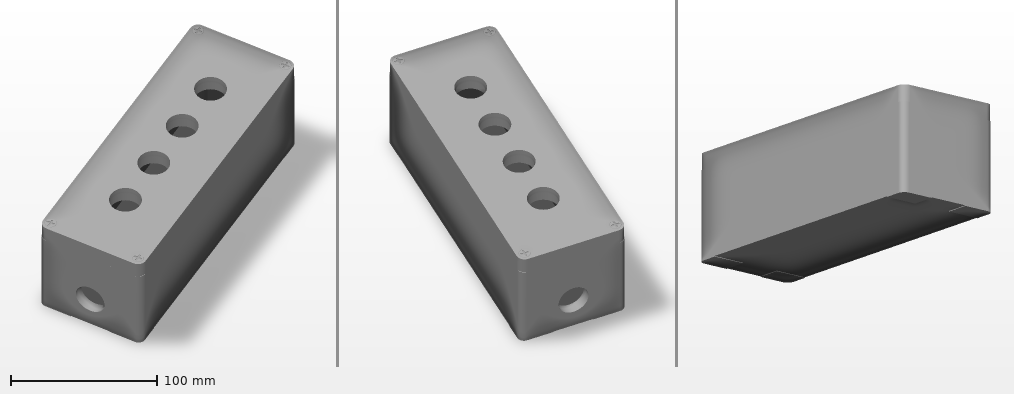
import cadquery as cq

width = 80.0
length = 220.0
total_height = 77.2
base_height = 65.0
screw_head_rise = 0.2
lid_thickness = total_height - base_height - screw_head_rise

base_corner_radius = 5.0
side_wall = 5.0
end_wall = 7.7
floor_thickness = 5.0
foot_width = 25.0
foot_length = 17.5
foot_height = 0.5
post_diameter = 17.0
cable_hole_height = 24.5

lid_corner_radius = 6.0
screw_inset = 6.0
screw_head_diameter = 8.1
screw_head_edge_angle = 45
cross_slot_length = 6.0
cross_slot_width = 1.4
cross_slot_depth = 0.5
button_count = 4
button_pitch = 40.0

opening_diameter = 22.5

screw_centres = [
    (side_x * (width / 2 - screw_inset), side_y * (length / 2 - screw_inset))
    for side_x in (-1, 1)
    for side_y in (-1, 1)
]


def rounded_block(height, corner_radius, bottom):
    """Full-size rectangular block with rounded upright edges."""
    block = cq.Workplane("XY", origin=(0, 0, bottom)).rect(width, length).extrude(height)
    return block.edges("|Z").fillet(corner_radius)


def make_cavity():
    """Open-topped inside of the base, with a round screw post left standing in each corner."""
    depth = base_height - floor_thickness
    floor_plane = cq.Workplane("XY", origin=(0, 0, floor_thickness))
    pocket = floor_plane.rect(width - 2 * side_wall, length - 2 * end_wall).extrude(depth)
    posts = floor_plane.pushPoints(screw_centres).circle(post_diameter / 2).extrude(depth)
    return pocket.cut(posts)


def make_foot_recess():
    """Shallow cross-shaped relief under the base that leaves four corner feet."""
    underside = cq.Workplane("XY")
    lengthwise = underside.rect(width - 2 * foot_width, length).extrude(foot_height)
    crosswise = underside.rect(width, length - 2 * foot_length).extrude(foot_height)
    return lengthwise.union(crosswise)


def make_cable_hole():
    """Round opening through the -Y end wall."""
    end_face = cq.Workplane("XZ", origin=(0, -length / 2, cable_hole_height))
    return end_face.circle(opening_diameter / 2).extrude(-end_wall)


def make_base():
    base = rounded_block(base_height, base_corner_radius, 0)
    return base.cut(make_cavity()).cut(make_foot_recess()).cut(make_cable_hole())


def make_cross_slots():
    """Cross-shaped driver slots sunk into the tops of the screw heads."""
    slot_floor = cq.Workplane("XY", origin=(0, 0, total_height - cross_slot_depth))
    at_screws = slot_floor.pushPoints(screw_centres)
    along_x = at_screws.rect(cross_slot_length, cross_slot_width).extrude(cross_slot_depth)
    along_y = at_screws.rect(cross_slot_width, cross_slot_length).extrude(cross_slot_depth)
    return along_x.union(along_y)


def make_lid():
    """Solid cover plate with a row of button openings and raised screw heads with bevelled edges."""
    lid = rounded_block(lid_thickness, lid_corner_radius, base_height)
    lid_top = cq.Workplane("XY", origin=(0, 0, base_height + lid_thickness))
    button_row = lid_top.rarray(2.2, button_pitch, 1, button_count)
    buttons = button_row.circle(opening_diameter / 2).extrude(-lid_thickness)
    head_outlines = lid_top.pushPoints(screw_centres).circle(screw_head_diameter / 2)
    heads = head_outlines.extrude(screw_head_rise, taper=screw_head_edge_angle)
    return lid.cut(buttons).union(heads).cut(make_cross_slots())


base = make_base()
lid = make_lid()

result = cq.Compound.makeCompound([base.val(), lid.val()])